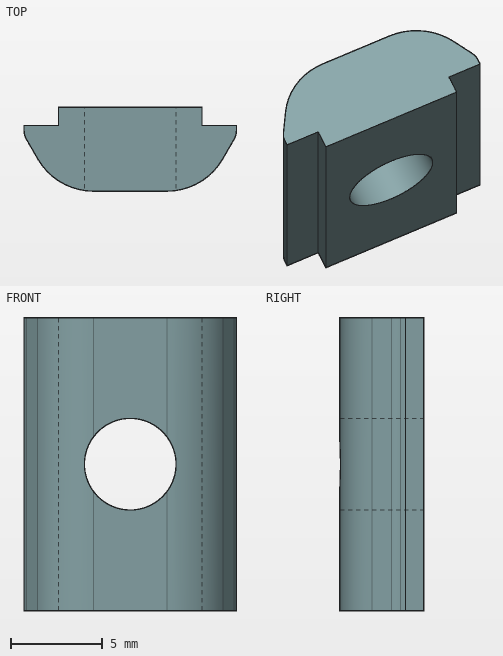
import cadquery as cq
import math

length = 16.0
width = 11.6
depth = 4.6
tongue_width = 7.85
tongue_height = 1.0
front_flat_width = 4.0
front_radius = 3.52
edge_radius = 1.0
flank_angle = math.radians(30)
hole_diameter = 5.0

front_y = -depth / 2
back_y = depth / 2
shoulder_y = back_y - tongue_height
half_width = width / 2
half_flat = front_flat_width / 2
half_tongue = tongue_width / 2

front_turn = math.pi / 2 - flank_angle
flank_front_x = half_flat + front_radius * math.sin(front_turn)
flank_front_y = front_y + front_radius * (1 - math.cos(front_turn))
flank_back_x = half_width - edge_radius * (1 - math.cos(flank_angle))
flank_back_y = flank_front_y + (flank_back_x - flank_front_x) / math.tan(flank_angle)
side_y = flank_back_y + edge_radius * math.sin(flank_angle)


def half_profile():
    """Right half of the cross-section, closed along the plane of symmetry."""
    front_mid_x = half_flat + front_radius * math.sin(front_turn / 2)
    front_mid_y = front_y + front_radius * (1 - math.cos(front_turn / 2))
    edge_mid_x = half_width - edge_radius * (1 - math.cos(flank_angle / 2))
    edge_mid_y = side_y - edge_radius * math.sin(flank_angle / 2)
    return (
        cq.Workplane("XY")
        .workplane(offset=-length / 2)
        .moveTo(0, front_y)
        .lineTo(half_flat, front_y)
        .threePointArc((front_mid_x, front_mid_y), (flank_front_x, flank_front_y))
        .lineTo(flank_back_x, flank_back_y)
        .threePointArc((edge_mid_x, edge_mid_y), (half_width, side_y))
        .lineTo(half_width, shoulder_y)
        .lineTo(half_tongue, shoulder_y)
        .lineTo(half_tongue, back_y)
        .lineTo(0, back_y)
        .close()
    )


def through_hole():
    """Round hole along Y through the middle of the block."""
    return cq.Workplane("XZ", origin=(0, back_y, 0)).circle(hole_diameter / 2).extrude(depth)


half_block = half_profile().extrude(length)
block = half_block.union(half_block.mirror("YZ")).clean()
result = block.cut(through_hole())